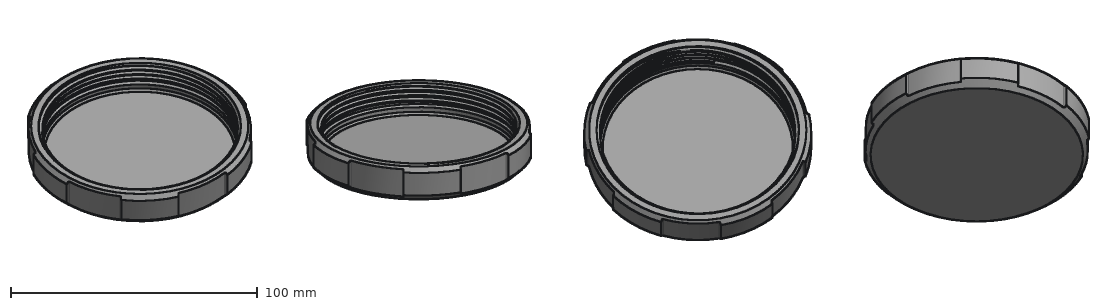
import cadquery as cq
import math

full_turn = 360.0

height = 15.0
grip_radius = 46.0
body_radius = 45.0
bottom_chamfer = 3.0
top_chamfer = 2.0

lobe_count = 6
first_lobe_angle = -90.0
lobe_half_width = 11.65
lobe_root_fillet = 0.5

floor_thickness = 2.0
floor_chamfer = 1.0
bore_radius = 79.0 / 2
root_radius = 81.95 / 2
shoulder_height = 5.0

inch = 25.4
threads_per_inch = 11
thread_angle = 55.0
pitch = inch / threads_per_inch
flank_slope = math.tan(math.radians(thread_angle / 2))
thread_depth = root_radius - bore_radius
flank_rise = thread_depth * flank_slope
crest_width = 0.5
thread_start_angle = 74.0
thread_start_height = 5.05
thread_full_turns = 4
thread_extra_angle = 100.0
thread_sweep_angle = thread_full_turns * full_turn + thread_extra_angle
thread_segments = 7
segment_angle = thread_sweep_angle / thread_segments
segment_rise = pitch * segment_angle / full_turn
wall_overlap = 0.15


def cap_envelope():
    """Solid of revolution at lobe size, chamfered top and bottom."""
    envelope = cq.Workplane("XY").circle(grip_radius).extrude(height)
    envelope = envelope.faces("<Z").chamfer(bottom_chamfer)
    envelope = envelope.faces(">Z").chamfer(top_chamfer)
    return envelope.rotate((0, 0, 0), (0, 0, 1), first_lobe_angle)


def grip_prism():
    """Round wall with straight-sided lobes, filleted where each lobe leaves the wall."""
    prism = cq.Workplane("XY").circle(body_radius).extrude(height)
    disc = cq.Workplane("XY").circle(grip_radius).extrude(height)
    for index in range(lobe_count):
        bar = (
            cq.Workplane("XY")
            .center(grip_radius / 2, 0)
            .rect(grip_radius, 2 * lobe_half_width)
            .extrude(height)
            .rotate((0, 0, 0), (0, 0, 1), index * full_turn / lobe_count)
        )
        prism = prism.union(bar.intersect(disc))
    mid_step_radius = (body_radius + grip_radius) / 2
    root_edges = [
        edge for edge in prism.edges("|Z").vals()
        if math.hypot(edge.Center().x, edge.Center().y) < mid_step_radius
    ]
    prism = prism.newObject(root_edges).fillet(lobe_root_fillet)
    return prism.rotate((0, 0, 0), (0, 0, 1), first_lobe_angle)


def cavity():
    """Chamfered floor, plain bore and the wider threaded bore above a sloped shoulder."""
    profile = [
        (0, floor_thickness),
        (bore_radius - floor_chamfer, floor_thickness),
        (bore_radius, floor_thickness + floor_chamfer),
        (bore_radius, shoulder_height),
        (root_radius, shoulder_height + flank_rise),
        (root_radius, height),
        (0, height),
    ]
    return cq.Workplane("XZ").polyline(profile).close().revolve(full_turn, (0, 0), (0, 1))


def thread_segment():
    """One length of right-handed helical ridge standing inward from the thread root."""
    base_half = crest_width / 2 + flank_rise + wall_overlap * flank_slope
    base_radius = root_radius + wall_overlap
    profile = [
        (bore_radius, -crest_width / 2),
        (base_radius, -base_half),
        (base_radius, base_half),
        (bore_radius, crest_width / 2),
    ]
    path = cq.Wire.makeHelix(pitch, segment_rise, bore_radius)
    return cq.Workplane("XZ").polyline(profile).close().sweep(cq.Workplane(path), isFrenet=True)


def mouth():
    """Lead-in cone at 45 degrees from thread crest to root at the rim, and the space above."""
    profile = [
        (0, height - thread_depth),
        (bore_radius, height - thread_depth),
        (root_radius, height),
        (grip_radius, height),
        (grip_radius, height + pitch),
        (0, height + pitch),
    ]
    return cq.Workplane("XZ").polyline(profile).close().revolve(full_turn, (0, 0), (0, 1))


def add_thread(cap):
    """Join the ridge to the bore, segment by segment, and trim it at the mouth."""
    segment = thread_segment()
    for index in range(thread_segments):
        placed = segment.rotate((0, 0, 0), (0, 0, 1), thread_start_angle + index * segment_angle)
        placed = placed.translate((0, 0, thread_start_height + index * segment_rise))
        cap = cap.union(placed)
    return cap.cut(mouth())


cap_blank = cap_envelope().intersect(grip_prism()).cut(cavity())
result = add_thread(cap_blank)